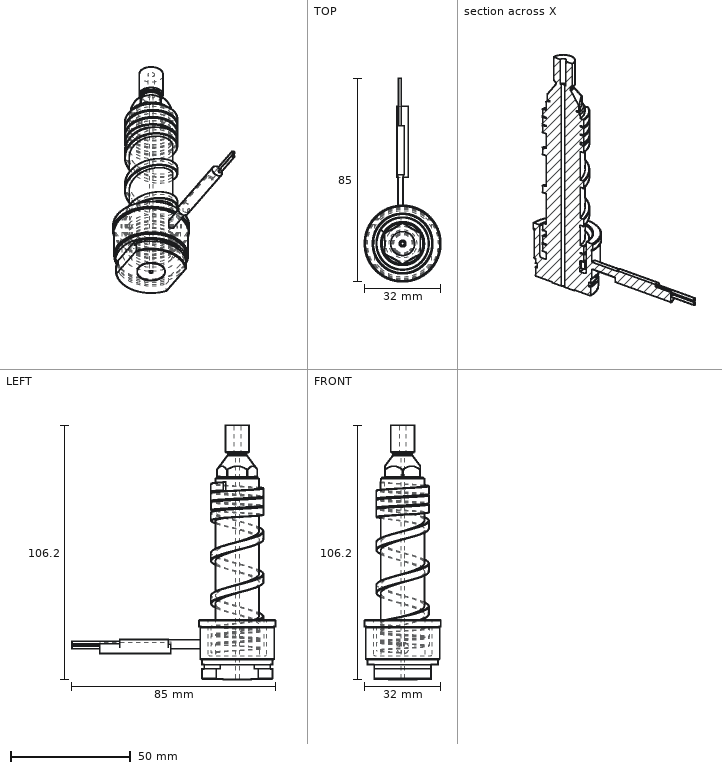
import cadquery as cq
import math

BOSS_RADIUS = 5.8
FOOT_BOTTOM = 0.3
FOOT_RADIUS = 14.8
FOOT_CHAMFER = 0.3
FOOT_TOP = 4.6
NECK_RADIUS = 13.8
RING_BOTTOM = 6.4
RING_RADIUS = 14.8
BODY_BOTTOM = 8.4
BODY_CHAMFER = 0.4
BODY_RADIUS = 15.5
FLANGE_BOTTOM = 22.2
FLANGE_TOP = 25.2
FLANGE_RADIUS = 15.98
FLANGE_CHAMFER = 0.4
UNDERCUT_HEIGHT = 0.4
UNDERCUT_DEPTH = 0.3
FLAT_HALF_WIDTH = 11.9

POCKET_RADIUS = 12.2
POCKET_FLOOR = 10.1
POCKET_CHAMFER = 0.4
POCKET_FLOOR_FILLET = 0.7

TUBE_RADIUS = 9.1
TUBE_TOP = 84.4
TUBE_CHAMFER = 0.6
HEX_UNDERCUT_RADIUS = 7.2
HEX_BOTTOM = 84.7
HEX_ACROSS_FLATS = 14.9
HEX_CORNER_CUT = 0.14
CONE_BASE_Z = 89.1
CONE_TOP_RADIUS = 4.2
CONE_TOP_Z = 93.3
TIP_NECK_RADIUS = 4.0
NECK_GROOVE_RADIUS = 3.8
NECK_GROOVE_BOTTOM = 94.0
NECK_GROOVE_TOP = 94.3
TIP_RADIUS = 5.0
TIP_BOTTOM = 94.6
TIP_CHAMFER = 0.5
TOTAL_HEIGHT = 106.2
BORE_RADIUS = 0.7
TIP_BORE_RADIUS = 1.4

SPRING_OUTER_RADIUS = 11.0
SPRING_INNER_RADIUS = 9.0
WIRE_HEIGHT = 3.6
WIRE_CHAMFER = 0.27
CLOSED_PITCH = 3.8
ACTIVE_PITCH = 17.8
SPRING_TOP_Z = 80.7
SPRING_TOP_ANGLE = 148.0
TOP_CLOSED_TURNS = 2.95
TRANSITION_TURNS = 0.5
ACTIVE_TURNS = 2.1
BOTTOM_CLOSED_TURNS = 2.1

LEAD_X = -0.9
LEAD_Z = 14.9
CABLE_WIDTH = 2.2
CABLE_HEIGHT = 3.8
CABLE_ROUNDING = 0.6
JACKET_WIDTH = 3.1
JACKET_HEIGHT = 4.1
JACKET_ROUNDING = 1.0
JACKET_START = 28.8
JACKET_END = 49.1
SLEEVE_RADIUS = 2.4
SLEEVE_Z = 13.4
SLEEVE_START = 27.6
SLEEVE_END = 57.3
WIRE_RADIUS = 0.6
WIRE_X = -1.2
WIRE_PAIR_Z = 14.5
WIRE_SPACING = 2.0
TOTAL_LENGTH_Y = 85.0
WIRE_END = TOTAL_LENGTH_Y - FLANGE_RADIUS


def cylinder(radius, bottom, top):
    return cq.Workplane("XY").workplane(offset=bottom).circle(radius).extrude(top - bottom)


def make_housing():
    boss = cylinder(BOSS_RADIUS, 0, FOOT_BOTTOM)
    foot = cylinder(FOOT_RADIUS, FOOT_BOTTOM, FOOT_TOP).faces("<Z").chamfer(FOOT_CHAMFER)
    neck = cylinder(NECK_RADIUS, FOOT_TOP, RING_BOTTOM)
    flats = cq.Workplane("XY").box(
        2 * FLAT_HALF_WIDTH, 2 * FOOT_RADIUS, RING_BOTTOM, centered=(True, True, False)
    )
    base = boss.union(foot).union(neck).intersect(flats)

    ring = cylinder(RING_RADIUS, RING_BOTTOM, BODY_BOTTOM)
    undercut_bottom = FLANGE_BOTTOM - UNDERCUT_HEIGHT
    body = cylinder(BODY_RADIUS, BODY_BOTTOM, undercut_bottom).faces("<Z").chamfer(BODY_CHAMFER)
    undercut = cylinder(BODY_RADIUS - UNDERCUT_DEPTH, undercut_bottom, FLANGE_BOTTOM)
    flange = cylinder(FLANGE_RADIUS, FLANGE_BOTTOM, FLANGE_TOP).faces(">Z").chamfer(FLANGE_CHAMFER)

    pocket = cylinder(POCKET_RADIUS, POCKET_FLOOR, FLANGE_TOP)
    pocket = pocket.faces("<Z").edges().fillet(POCKET_FLOOR_FILLET)
    pocket_rim = cq.Workplane("XY").add(
        cq.Solid.makeCone(
            POCKET_RADIUS,
            POCKET_RADIUS + POCKET_CHAMFER,
            POCKET_CHAMFER,
            pnt=cq.Vector(0, 0, FLANGE_TOP - POCKET_CHAMFER),
        )
    )
    housing = base.union(ring).union(body).union(undercut).union(flange)
    return housing.cut(pocket).cut(pocket_rim)


def make_stem():
    tube = cylinder(TUBE_RADIUS, POCKET_FLOOR, TUBE_TOP).faces(">Z").chamfer(TUBE_CHAMFER)

    hex_undercut = cylinder(HEX_UNDERCUT_RADIUS, TUBE_TOP, HEX_BOTTOM)
    hex_corner_radius = HEX_ACROSS_FLATS / math.sqrt(3)
    hexagon = (
        cq.Workplane("XY")
        .workplane(offset=HEX_BOTTOM)
        .polygon(6, 2 * hex_corner_radius)
        .extrude(CONE_TOP_Z - HEX_BOTTOM)
        .rotate((0, 0, 0), (0, 0, 1), 30)
    )
    turned_radius = hex_corner_radius - HEX_CORNER_CUT
    flat_radius = HEX_ACROSS_FLATS / 2
    cone_slope = (CONE_TOP_Z - CONE_BASE_Z) / (flat_radius - CONE_TOP_RADIUS)
    cone_edge_z = CONE_BASE_Z - cone_slope * (turned_radius - flat_radius)
    cone_envelope = (
        cq.Workplane("XZ")
        .moveTo(0, HEX_BOTTOM)
        .lineTo(turned_radius, HEX_BOTTOM)
        .lineTo(turned_radius, cone_edge_z)
        .lineTo(CONE_TOP_RADIUS, CONE_TOP_Z)
        .lineTo(0, CONE_TOP_Z)
        .close()
        .revolve(360, (0, 0, 0), (0, 1, 0))
    )
    tip_neck = cylinder(TIP_NECK_RADIUS, CONE_TOP_Z, TIP_BOTTOM)
    neck_groove = cylinder(TIP_NECK_RADIUS, NECK_GROOVE_BOTTOM, NECK_GROOVE_TOP).cut(
        cylinder(NECK_GROOVE_RADIUS, NECK_GROOVE_BOTTOM, NECK_GROOVE_TOP)
    )
    tip = cylinder(TIP_RADIUS, TIP_BOTTOM, TOTAL_HEIGHT).faces("<Z").chamfer(TIP_CHAMFER)
    nut = hexagon.intersect(cone_envelope)
    return tube.union(hex_undercut).union(nut).union(tip_neck.cut(neck_groove)).union(tip)


def pitch_change(start_turn, end_turn):
    """Return the running integral of a factor that ramps from 0 to 1 between two turns of the coil."""

    def integral(turn):
        ramped = min(max(turn - start_turn, 0), end_turn - start_turn)
        beyond = max(turn - end_turn, 0)
        return ramped**2 / (2 * (end_turn - start_turn)) + beyond

    return integral


OPENING_START = TOP_CLOSED_TURNS
OPENING_END = OPENING_START + TRANSITION_TURNS
CLOSING_START = OPENING_END + ACTIVE_TURNS
CLOSING_END = CLOSING_START + TRANSITION_TURNS
SPRING_TURNS = CLOSING_END + BOTTOM_CLOSED_TURNS
opening = pitch_change(OPENING_START, OPENING_END)
closing = pitch_change(CLOSING_START, CLOSING_END)


def spring_drop(turn):
    """Descent of the wire centre after the given number of turns."""
    return CLOSED_PITCH * turn + (ACTIVE_PITCH - CLOSED_PITCH) * (opening(turn) - closing(turn))


def coil_edge(radius, height_offset, points_per_turn=32):
    """Curve traced along the coil by one corner of the wire section."""
    count = math.ceil(SPRING_TURNS * points_per_turn)
    points = []
    for i in range(count + 1):
        turn = SPRING_TURNS * i / count
        angle = math.radians(SPRING_TOP_ANGLE) - 2 * math.pi * turn
        height = SPRING_TOP_Z - spring_drop(turn) + height_offset
        points.append(cq.Vector(radius * math.cos(angle), radius * math.sin(angle), height))
    return cq.Edge.makeSpline(points)


def make_spring():
    half = WIRE_HEIGHT / 2
    section = [
        (SPRING_INNER_RADIUS, -half),
        (SPRING_OUTER_RADIUS - WIRE_CHAMFER, -half),
        (SPRING_OUTER_RADIUS, -half + WIRE_CHAMFER),
        (SPRING_OUTER_RADIUS, half - WIRE_CHAMFER),
        (SPRING_OUTER_RADIUS - WIRE_CHAMFER, half),
        (SPRING_INNER_RADIUS, half),
    ]
    edges = [coil_edge(radius, offset) for radius, offset in section]
    faces = [cq.Face.makeRuledSurface(edges[i - 1], edges[i]) for i in range(len(edges))]
    for end_point in (cq.Edge.startPoint, cq.Edge.endPoint):
        corners = [end_point(edge) for edge in edges]
        faces.append(cq.Face.makeFromWires(cq.Wire.makePolygon(corners, close=True)))
    spring = cq.Solid.makeSolid(cq.Shell.makeShell(faces))
    return cq.Workplane("XY").add(spring.fix())


def lead_plane(y_start):
    """Plane facing +Y, with its local x along -X and its local y along +Z."""
    return cq.Workplane(cq.Plane(origin=(0, y_start, 0), xDir=(-1, 0, 0), normal=(0, 1, 0)))


def rounded_bar(width, height, rounding, y_start, y_end):
    bar = lead_plane(y_start).center(-LEAD_X, LEAD_Z).rect(width, height).extrude(y_end - y_start)
    return bar.edges("|Y").fillet(rounding)


def make_lead():
    cable_start = (POCKET_RADIUS + BODY_RADIUS) / 2
    cable = rounded_bar(CABLE_WIDTH, CABLE_HEIGHT, CABLE_ROUNDING, cable_start, JACKET_END)
    jacket = rounded_bar(JACKET_WIDTH, JACKET_HEIGHT, JACKET_ROUNDING, JACKET_START, JACKET_END)
    sleeve = lead_plane(SLEEVE_START).center(0, SLEEVE_Z).circle(SLEEVE_RADIUS)
    lead = cable.union(jacket).union(sleeve.extrude(SLEEVE_END - SLEEVE_START))
    for side in (-1, 1):
        wire_z = WIRE_PAIR_Z + side * WIRE_SPACING / 2
        wire = lead_plane(JACKET_START).center(-WIRE_X, wire_z).circle(WIRE_RADIUS)
        lead = lead.union(wire.extrude(WIRE_END - JACKET_START))
    return lead


result = make_housing().union(make_stem()).union(make_spring()).union(make_lead())

result = result.cut(cylinder(BORE_RADIUS, 0, TOTAL_HEIGHT))
result = result.cut(cylinder(TIP_BORE_RADIUS, TIP_BOTTOM, TOTAL_HEIGHT))